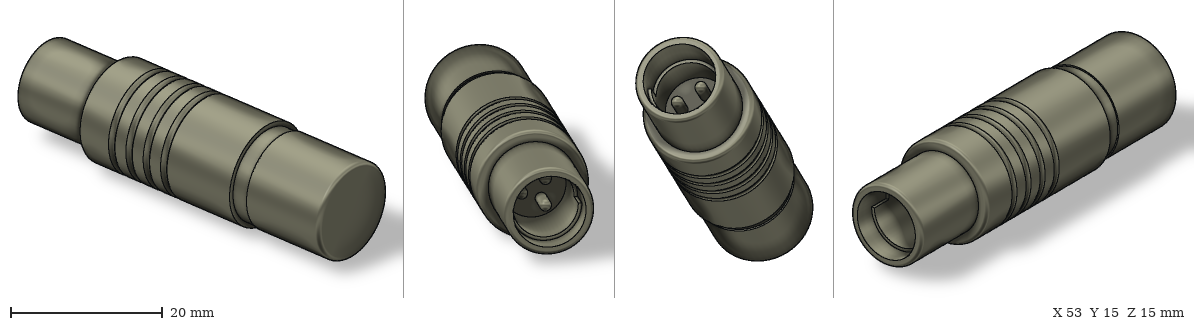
import cadquery as cq
import math

overall_length = 53.0
nose_length = 12.0
sleeve_length = 26.0
neck_length = 2.5
sleeve_end = nose_length + sleeve_length
neck_end = sleeve_end + neck_length

nose_radius = 6.0
sleeve_radius = 15.0 / 2
neck_radius = 6.8
rear_radius = 7.0
edge_round = 0.6
rear_round = 0.65

groove_count = 4
first_groove_start = 17.15
last_groove_start = 26.15
groove_pitch = (last_groove_start - first_groove_start) / (groove_count - 1)
groove_width = 1.05
flank_width = 0.5
flank_angle = math.radians(30)
flank_depth = flank_width * math.tan(flank_angle)

mouth_radius = 4.9
socket_radius = 4.4
lower_ledge_depth = 3.0
upper_ledge_depth = 2 * lower_ledge_depth
socket_depth = nose_length

pin_count = 3
pin_circle_radius = 2.1
pin_radius = 0.8
pin_length = 4.0


def cylinder(start, end, radius):
    """Cylinder on the X axis between two stations."""
    return cq.Workplane("YZ").workplane(offset=start).circle(radius).extrude(end - start)


def make_body():
    nose = cylinder(0, nose_length, nose_radius).faces("<X").edges().fillet(edge_round)
    sleeve = cylinder(nose_length, sleeve_end, sleeve_radius).faces("<X").edges().fillet(edge_round)
    neck = cylinder(sleeve_end, neck_end, neck_radius)
    rear = cylinder(neck_end, overall_length, rear_radius).faces(">X").edges().fillet(rear_round)
    return nose.union(sleeve).union(neck).union(rear)


def make_groove(start):
    """Ring that cuts one groove into the sleeve, its arc tangent to its conical flank."""
    return (
        cq.Workplane("XY")
        .moveTo(start, sleeve_radius)
        .lineTo(start + flank_width, sleeve_radius - flank_depth)
        .tangentArcPoint((start + groove_width, sleeve_radius), relative=False)
        .close()
        .revolve(360, (0, 0, 0), (1, 0, 0))
    )


def make_socket():
    """Stepped bore whose upper half is wide to a greater depth."""
    bore = cylinder(0, socket_depth, socket_radius)
    mouth = cylinder(0, lower_ledge_depth, mouth_radius)
    upper_half = cq.Workplane("XY").box(
        upper_ledge_depth, 2 * mouth_radius, mouth_radius, centered=(False, True, False)
    )
    upper_mouth = cylinder(0, upper_ledge_depth, mouth_radius).intersect(upper_half)
    return bore.union(mouth).union(upper_mouth)


def make_pin(angle):
    """Round-nosed pin pointing out of the socket, rooted slightly in its floor."""
    y = pin_circle_radius * math.cos(angle)
    z = pin_circle_radius * math.sin(angle)
    tip_center_x = socket_depth - pin_length + pin_radius
    root_x = socket_depth + pin_radius
    shank = cylinder(tip_center_x, root_x, pin_radius)
    tip = cq.Workplane("XY").sphere(pin_radius).translate((tip_center_x, 0, 0))
    return shank.union(tip).translate((0, y, z))


result = make_body()
for index in range(groove_count):
    result = result.cut(make_groove(first_groove_start + index * groove_pitch))
result = result.cut(make_socket())
for index in range(pin_count):
    result = result.union(make_pin(index * 2 * math.pi / pin_count))